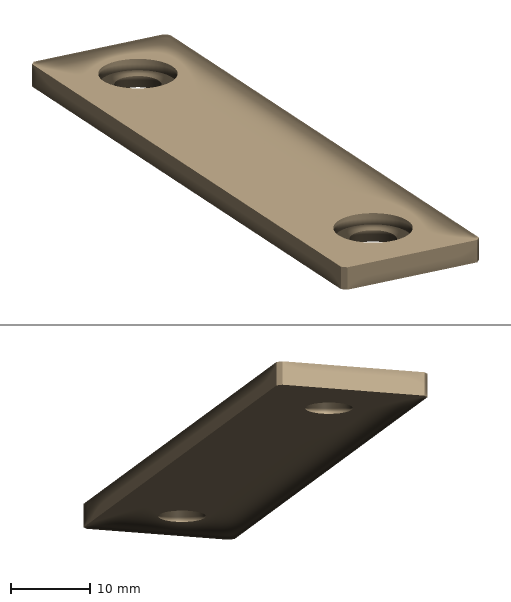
import cadquery as cq

length = 80.0
width = length / 4
thickness = 3.0
corner_chamfer = 0.6

hole_spacing = 60.0
hole_diameter = 6.0
counterbore_diameter = 10.0
counterbore_depth = thickness / 2

plate = (
    cq.Workplane("XY")
    .box(length, width, thickness)
    .edges("|Z")
    .chamfer(corner_chamfer)
)

hole_centers = [(-hole_spacing / 2, 0), (hole_spacing / 2, 0)]
result = (
    plate.faces(">Z")
    .workplane()
    .pushPoints(hole_centers)
    .cboreHole(hole_diameter, counterbore_diameter, counterbore_depth)
)